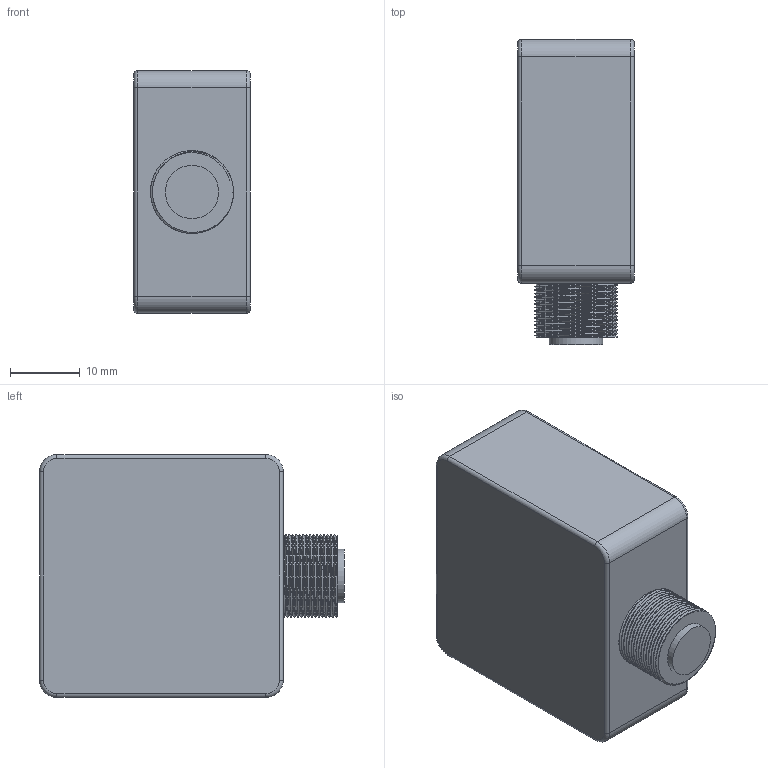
import cadquery as cq
import math

housing_width = 16.75
housing_height = 34.9
housing_length = 35.0
corner_radius = 2.5
edge_radius = 0.55

overall_length = 43.8
stud_length = 7.75
major_diameter = 11.93
minor_diameter = 11.35
pin_diameter = 7.65

pitch = 0.5
crest_width = pitch / 8
flank_half_angle = 30
last_crest_setback = 0.125
spare_turns = 2
core_overhang = 3 * spare_turns * pitch
envelope_clearance = pitch

major_radius = major_diameter / 2
minor_radius = minor_diameter / 2
pin_length = overall_length - housing_length - stud_length

coil_wall = 0.6
core_overlap = coil_wall / 2
coil_bore_radius = minor_radius - coil_wall
core_radius = coil_bore_radius + core_overlap


def make_housing():
    """Block with rounded corners along X and rounded rims on both X faces; its -Y face is at Y = 0."""
    block = cq.Workplane("XY").box(
        housing_width, housing_length, housing_height, centered=(True, False, True)
    )
    block = block.edges("|X").fillet(corner_radius)
    return block.faces("<X or >X").edges().fillet(edge_radius)


def make_thread_coil():
    """Helical coil along +Z, one pitch of thread per turn, with its crests in place for the stud."""
    flank_run = (major_radius - minor_radius) * math.tan(math.radians(flank_half_angle))
    root_width = pitch - crest_width - 2 * flank_run
    crest_start = root_width + flank_run
    crest_end = crest_start + crest_width

    profile = [
        (minor_radius, 0),
        (minor_radius, root_width),
        (major_radius, crest_start),
        (major_radius, crest_end),
        (minor_radius, pitch),
        (coil_bore_radius, pitch),
        (coil_bore_radius, 0),
    ]
    top_side = 4
    bottom_side = 6

    crest_middle = (crest_start + crest_end) / 2
    last_crest_height = stud_length - last_crest_setback
    turns = math.ceil(stud_length / pitch) + 2 * spare_turns
    turns_below_last_crest = turns - spare_turns
    coil_start = last_crest_height - crest_middle + pitch / 4 - turns_below_last_crest * pitch

    faces = []
    for turn in range(turns):
        turn_start = coil_start + turn * pitch
        helices = [
            cq.Wire.makeHelix(pitch, pitch, radius, center=cq.Vector(0, 0, turn_start + height)).Edges()[0]
            for radius, height in profile
        ]
        for side in range(len(profile)):
            if side == top_side and turn < turns - 1:
                continue
            if side == bottom_side and turn > 0:
                continue
            next_side = (side + 1) % len(profile)
            faces.append(cq.Face.makeRuledSurface(helices[side], helices[next_side]))

    for cap_height in (coil_start, coil_start + turns * pitch):
        corners = [cq.Vector(radius, 0, cap_height + height) for radius, height in profile]
        faces.append(cq.Face.makeFromWires(cq.Wire.makePolygon(corners, close=True)))

    return cq.Workplane(obj=cq.Solid.makeSolid(cq.Shell.makeShell(faces)))


def make_stud():
    """Threaded stud pointing along -Y from the housing face."""
    core_start = cq.Workplane("XY").workplane(offset=-core_overhang)
    core = core_start.circle(core_radius).extrude(stud_length + 2 * core_overhang)
    envelope = cq.Workplane("XY").circle(major_radius + envelope_clearance).extrude(stud_length)
    rod = make_thread_coil().union(core, clean=False)
    stud = rod.intersect(envelope, clean=False)
    return stud.rotate((0, 0, 0), (1, 0, 0), 90)


def make_pin():
    """Plain round pin standing out of the stud end along -Y."""
    pin_start = cq.Workplane("XZ").workplane(offset=stud_length)
    return pin_start.circle(pin_diameter / 2).extrude(pin_length)


result = make_housing().union(make_stud(), clean=False).union(make_pin(), clean=False)